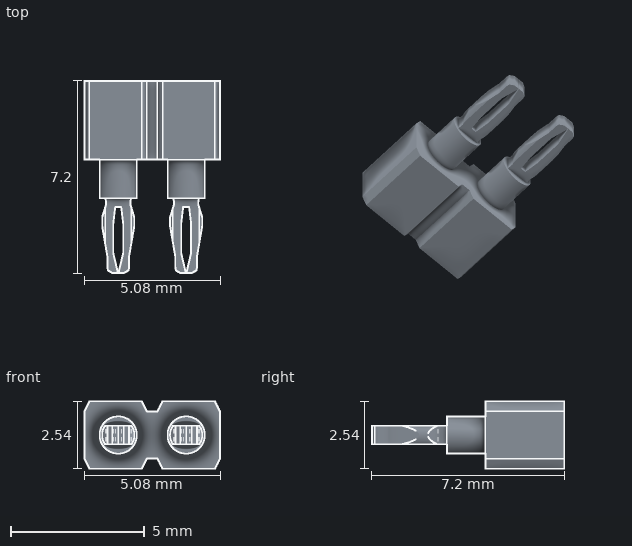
import cadquery as cq

pitch = 2.54
cell_count = 2
housing_height = pitch
housing_width = cell_count * pitch
housing_length = 2.95
bevel_width = 0.195
bevel_height = 0.39

shoulder_diameter = 1.4
shoulder_length = 1.45

tail_length = 2.8
tail_thickness = 0.7
tail_round_diameter = 1.21
neck_half_width = 0.48
waist_half_width = 0.46
waist_start = 0.12
waist_end = 0.24
bulge_half_width = 0.64
bulge_position = 0.83
toe_half_width = 0.41
toe_start = 2.175
toe_easing_start = 2.58
toe_easing_middle = 2.62
toe_easing_half_width = 0.4
toe_chamfer_start = 2.69
toe_chamfer_half_width = 0.39
toe_end_half_width = 0.215

slot_start = 0.33
slot_start_half_width = 0.11
slot_half_width = 0.18
slot_wide_start = 0.935
slot_wide_end = 2.05
slot_tip_half_width = 0.0035

total_length = housing_length + shoulder_length + tail_length
front_face_y = total_length / 2 - housing_length
shoulder_end_y = front_face_y - shoulder_length


def housing_prism(outline):
    """Prism with the given XZ outline, as long as the housing."""
    return (
        cq.Workplane("XZ", origin=(0, front_face_y, 0))
        .polyline(outline)
        .close()
        .extrude(-housing_length)
    )


def bevelled_block():
    """Block centred on X and Z whose four long edges carry uneven bevels."""
    half_width = housing_width / 2
    half_height = housing_height / 2
    outline = [
        (half_width, half_height - bevel_height),
        (half_width - bevel_width, half_height),
        (bevel_width - half_width, half_height),
        (-half_width, half_height - bevel_height),
        (-half_width, bevel_height - half_height),
        (bevel_width - half_width, -half_height),
        (half_width - bevel_width, -half_height),
        (half_width, bevel_height - half_height),
    ]
    return housing_prism(outline)


def notch(side):
    """Tapered groove between the cells, on the top (side=1) or bottom (side=-1)."""
    mouth_z = side * housing_height / 2
    floor_z = mouth_z - side * bevel_height
    outline = [
        (-2 * bevel_width, mouth_z),
        (-bevel_width, floor_z),
        (bevel_width, floor_z),
        (2 * bevel_width, mouth_z),
    ]
    return housing_prism(outline)


def symmetric_plate(half_outline):
    """Flat plate from (half width, distance from shoulder) points, mirrored about the pin axis."""
    right_side = [(x, shoulder_end_y - distance) for x, distance in half_outline]
    left_side = [(-x, y) for x, y in reversed(right_side)]
    return (
        cq.Workplane("XY")
        .polyline(right_side + left_side)
        .close()
        .extrude(tail_thickness / 2, both=True)
    )


def rod(diameter, start_y, length):
    """Cylinder on the pin axis that runs from start_y toward -Y."""
    return cq.Workplane("XZ", origin=(0, start_y, 0)).circle(diameter / 2).extrude(length)


def pin():
    """One pin on the Y axis: round shoulder and split, bulged tail."""
    tail = symmetric_plate([
        (neck_half_width, 0),
        (waist_half_width, waist_start),
        (waist_half_width, waist_end),
        (bulge_half_width, bulge_position),
        (toe_half_width, toe_start),
        (toe_half_width, toe_easing_start),
        (toe_easing_half_width, toe_easing_middle),
        (toe_chamfer_half_width, toe_chamfer_start),
        (toe_end_half_width, tail_length),
    ])
    slot = symmetric_plate([
        (slot_start_half_width, slot_start),
        (slot_half_width, slot_wide_start),
        (slot_half_width, slot_wide_end),
        (slot_tip_half_width, tail_length),
    ])
    envelope = rod(tail_round_diameter, shoulder_end_y, tail_length)
    shoulder = rod(shoulder_diameter, front_face_y, shoulder_length)
    return shoulder.union(tail.intersect(envelope).cut(slot))


result = bevelled_block().cut(notch(1)).cut(notch(-1))
for index in range(cell_count):
    pin_x = (index - (cell_count - 1) / 2) * pitch
    result = result.union(pin().translate((pin_x, 0, 0)))